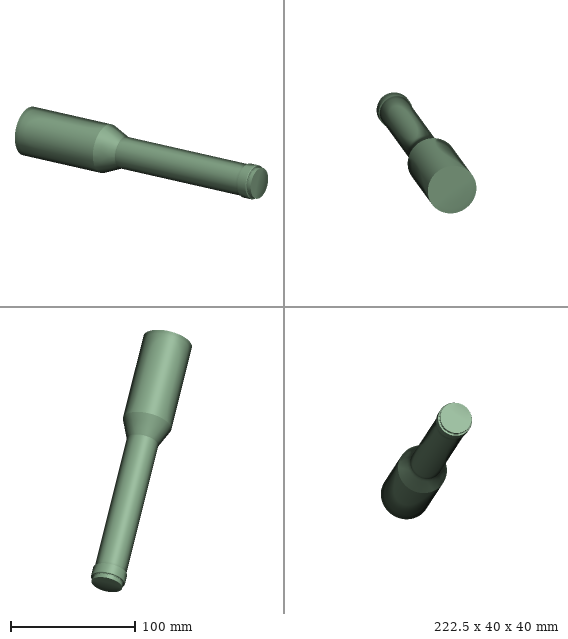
import cadquery as cq

total_length = 222.5
grip_length = 75.2
taper_length = 16.7
collar_length = 8.2
spigot_length = 3.8

grip_diameter = 40.0
tube_diameter = 26.0
collar_diameter = 28.0
spigot_diameter = 25.4

bevel_length = 0.5
bevel_depth = 0.2
groove_diameter = 25.0
groove_margin = 0.55

taper_end = grip_length + taper_length
collar_end = total_length - spigot_length
collar_start = collar_end - collar_length
groove_start = collar_end + groove_margin
groove_end = total_length - groove_margin

half_section = [
    (0, 0),
    (0, grip_diameter / 2),
    (grip_length, grip_diameter / 2),
    (taper_end, tube_diameter / 2),
    (collar_start, tube_diameter / 2),
    (collar_start, collar_diameter / 2),
    (collar_end - bevel_length, collar_diameter / 2),
    (collar_end, collar_diameter / 2 - bevel_depth),
    (collar_end, spigot_diameter / 2),
    (groove_start, spigot_diameter / 2),
    (groove_start, groove_diameter / 2),
    (groove_end, groove_diameter / 2),
    (groove_end, spigot_diameter / 2),
    (total_length, spigot_diameter / 2),
    (total_length, 0),
]

result = cq.Workplane("XY").polyline(half_section).close().revolve(360, (0, 0, 0), (1, 0, 0))